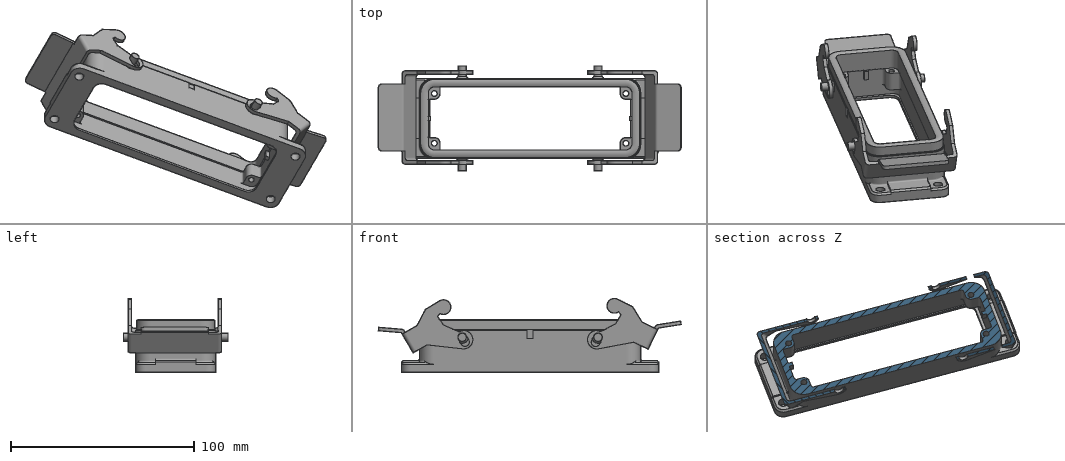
import cadquery as cq
import math

base_length = 140.3
housing_width = 43.6
base_corner_radius = 5.1
base_height = 5.5
pad_height = 6.6
pad_width = 22.1
base_chamfer = 1.0

wall_length = 120.6
wall_corner_radius = 7.6
wall_top = 23.3
wall_top_chamfer = 0.41
root_fillet = 0.8

lip_inset = 0.5
lip_length = 119.3
lip_width = housing_width - 2 * lip_inset
lip_thickness = 4.1
lip_corner_radius = 7.6
lip_top = 29.0
lip_dome_rise = 0.5

mouth_length = lip_length - 2 * lip_thickness
mouth_width = lip_width - 2 * lip_thickness
mouth_corner_radius = lip_corner_radius - lip_thickness
ledge_height = 17.5
ledge_depth = 0.8
chamber_length = mouth_length + 2 * ledge_depth
chamber_width = mouth_width + 2 * ledge_depth
floor_thickness = 1.5
floor_opening_length = 109.4
floor_opening_width = mouth_width
floor_corner_radius = 5.0

boss_bottom = 7.5
boss_hole_diameter = 3.0
boss_hole_x = 52.2
boss_hole_y = 13.5
boss_radius = 3.1
boss_root_fillet = 1.2

nub_width = 2.3
nub_bottom = 12.4
nub_inner_x = 54.2

mount_hole_diameter = 4.8
mount_hole_x = 65.0
mount_hole_y = 16.0

notch_width = 3.3
notch_bottom = 18.5
notch_depth = 1.0

pin_x = 37.0
pin_z = 19.2
pin_diameter = 4.5
pin_span = 57.2
collar_root_diameter = 6.6
collar_height = 1.2

sheet = 2.0
latch_width = 51.0
latch_y_offset = 0.5
slot_width = 4.8
slot_travel = 3.0
lobe_center = (0, -slot_travel / 2)
lobe_radius = 5.04
hook_center = (0.5, 19.3)
hook_radius = 4.05
hook_end_angle = -30.0
hook_shoulder = (9.6, 23.3)
throat = (5.8, 16.5)
throat_fillet = 0.5
arm_upper_corner = (5.5, 10.9)
plate_outer_u = 27.5
plate_bottom_w = 6.1
plate_top_w = 18.0
tail_start_upper_u = 18.0
tail_start_lower_u = 18.7
plate_outer_radius = 2.0
plate_inner_radius = 1.7

flap_width = 36.7
flap_angle = 35.0
flap_tip = (37.2, 27.0)
flap_corner = 2.1
flap_bend_radius = 2.0
left_tilt = 30.3
right_tilt = 26.0

pick_margin = 0.2


def rounded_block(length, width, radius, bottom, top):
    """Block centred on the Z axis with rounded vertical edges."""
    block = cq.Workplane("XY").workplane(offset=bottom).rect(length, width).extrude(top - bottom)
    return block.edges("|Z").fillet(radius)


def box_between(x_range, y_range, z_range):
    """Box given by its two limits along each axis."""
    size = [high - low for low, high in (x_range, y_range, z_range)]
    corner = (x_range[0], y_range[0], z_range[0])
    return cq.Workplane("XY").box(*size, centered=False).translate(corner)


def mirrored_points(x, y):
    """The four points (+-x, +-y)."""
    return [(sx * x, sy * y) for sx in (-1, 1) for sy in (-1, 1)]


def tangent_point(center, radius, point, side):
    """Where a line from point touches a circle; side +1 or -1 picks one of the two touches."""
    du = point[0] - center[0]
    dw = point[1] - center[1]
    angle = math.atan2(dw, du) + side * math.acos(radius / math.hypot(du, dw))
    return (center[0] + radius * math.cos(angle), center[1] + radius * math.sin(angle))


def housing_shell():
    """Flanged base with a raised pad at each end and the upright wall, root edges filleted."""
    base = rounded_block(base_length, housing_width, base_corner_radius, 0, base_height)
    base = base.faces(">Z").edges().chamfer(base_chamfer)
    pad = box_between(
        (-base_length / 2, base_length / 2), (-pad_width / 2, pad_width / 2), (0, pad_height)
    )
    pad = pad.edges(">Z and |Y").chamfer(base_chamfer)
    wall = rounded_block(wall_length, housing_width, wall_corner_radius, 0, wall_top)
    wall = wall.faces(">Z").edges().chamfer(wall_top_chamfer)
    shell = base.union(pad).union(wall)
    root_x = wall_length / 2 + pick_margin
    root_y = housing_width / 2 - 2 * pick_margin
    root_zone = cq.selectors.BoxSelector(
        (-root_x, -root_y, base_height - pick_margin),
        (root_x, root_y, pad_height + pick_margin),
    )
    return shell.edges(root_zone).edges("not |Z").fillet(root_fillet)


def lip_profile(middle_radius):
    """Cross-section of the rim in the XZ plane, its middle line at the given X."""
    half = lip_thickness / 2
    shoulder = lip_top - lip_dome_rise
    return (
        cq.Workplane("XZ").center(middle_radius, 0)
        .moveTo(-half, wall_top)
        .lineTo(half, wall_top)
        .lineTo(half, shoulder)
        .threePointArc((0, lip_top), (-half, shoulder))
        .close()
    )


def domed_lip():
    """Rim with an arched top: four straight bars joined by four quarter-turn corners."""
    middle_radius = lip_corner_radius - lip_thickness / 2
    corner_x = lip_length / 2 - lip_corner_radius
    corner_y = lip_width / 2 - lip_corner_radius
    corners = ((corner_x, corner_y), (-corner_x, corner_y), (-corner_x, -corner_y), (corner_x, -corner_y))
    bar_lengths = (2 * corner_x, 2 * corner_y, 2 * corner_x, 2 * corner_y)
    lip = cq.Workplane("XY")
    for turn, (corner, bar_length) in enumerate(zip(corners, bar_lengths)):
        bend = lip_profile(middle_radius).revolve(90, (-middle_radius, 0), (-middle_radius, 1))
        bar = lip_profile(middle_radius).extrude(-bar_length)
        bar = bar.rotate((0, 0, 0), (0, 0, 1), 90)
        section = bend.union(bar).rotate((0, 0, 0), (0, 0, 1), 90 * turn)
        section = section.translate((*corner, 0))
        lip = lip.union(section) if turn else section
    return lip


def space_between_bosses():
    """Chamber layer at the height of the bosses, with its four corners left solid."""
    edge_x = boss_hole_x - boss_radius
    edge_y = boss_hole_y - boss_radius
    height = ledge_height - boss_bottom
    lengthwise = cq.Workplane("XY").rect(chamber_length, 2 * edge_y).extrude(height)
    crosswise = cq.Workplane("XY").rect(2 * edge_x, chamber_width).extrude(height)
    boss_corner_zone = cq.selectors.BoxSelector(
        (-edge_x - pick_margin, -edge_y - pick_margin, 0),
        (edge_x + pick_margin, edge_y + pick_margin, height),
    )
    space = lengthwise.union(crosswise)
    space = space.edges("|Z").edges(boss_corner_zone).fillet(boss_radius)
    space = space.edges("|Z").edges("<X or >X or <Y or >Y").fillet(boss_root_fillet)
    return space.translate((0, 0, boss_bottom))


def inner_space():
    """The opening below the lip: mouth, chamber and floor opening."""
    mouth = rounded_block(mouth_length, mouth_width, mouth_corner_radius, ledge_height, wall_top)
    under_bosses = rounded_block(
        chamber_length, chamber_width, mouth_corner_radius, floor_thickness, boss_bottom
    )
    floor_opening = rounded_block(
        floor_opening_length, floor_opening_width, floor_corner_radius, 0, floor_thickness
    )
    return mouth.union(under_bosses).union(space_between_bosses()).union(floor_opening)


def end_nub(end):
    """Nub on one inner end wall; end is -1 or +1 along X."""
    outer_x = chamber_length / 2 + ledge_depth
    x_range = sorted((end * nub_inner_x, end * outer_x))
    return box_between(x_range, (-nub_width / 2, nub_width / 2), (nub_bottom, ledge_height))


def side_notch(side):
    """Shallow notch in one long side; side is -1 or +1 along Y."""
    outer_y = housing_width / 2
    y_range = sorted((side * (outer_y - notch_depth), side * outer_y))
    return box_between((-notch_width / 2, notch_width / 2), y_range, (notch_bottom, wall_top))


def pivot(x, side):
    """Collar and pin standing out of one long side; side is -1 or +1 along Y."""
    wall_y = housing_width / 2
    outward = cq.Vector(0, side, 0)
    root = cq.Vector(x, side * wall_y, pin_z)
    collar = cq.Solid.makeCone(
        collar_root_diameter / 2, pin_diameter / 2, collar_height, root, outward
    )
    pin = cq.Solid.makeCylinder(pin_diameter / 2, pin_span / 2 - wall_y, root, outward)
    return cq.Workplane(collar).union(cq.Workplane(pin))


def vertical_holes(x, y, diameter, height):
    """Four upright holes placed symmetrically about both middle planes."""
    return cq.Workplane("XY").pushPoints(mirrored_points(x, y)).circle(diameter / 2).extrude(height)


def make_housing():
    body = housing_shell().cut(inner_space()).union(domed_lip())
    for sign in (-1, 1):
        body = body.union(end_nub(sign))
        body = body.cut(side_notch(sign))
    body = body.cut(vertical_holes(boss_hole_x, boss_hole_y, boss_hole_diameter, ledge_height))
    body = body.cut(vertical_holes(mount_hole_x, mount_hole_y, mount_hole_diameter, pad_height))
    for x, side in mirrored_points(pin_x, 1):
        body = body.union(pivot(x, side))
    return body


def latch_outline():
    """Side outline of the latch, from the hook down to the pivot lobe and the end plate."""
    hook_top = tangent_point(hook_center, hook_radius, hook_shoulder, 1)
    hook_end = (
        hook_center[0] + hook_radius * math.cos(math.radians(hook_end_angle)),
        hook_center[1] + hook_radius * math.sin(math.radians(hook_end_angle)),
    )
    hook_nose = (hook_center[0] - hook_radius, hook_center[1])
    lobe_top = (lobe_center[0], lobe_center[1] + lobe_radius)
    lobe_bottom = tangent_point(lobe_center, lobe_radius, (tail_start_lower_u, plate_bottom_w), -1)
    lobe_tip = (lobe_center[0] - lobe_radius, lobe_center[1])
    return (
        cq.Workplane("XZ")
        .moveTo(*hook_shoulder)
        .lineTo(tail_start_upper_u, plate_top_w)
        .lineTo(plate_outer_u, plate_top_w)
        .lineTo(plate_outer_u, plate_bottom_w)
        .lineTo(tail_start_lower_u, plate_bottom_w)
        .lineTo(*lobe_bottom)
        .threePointArc(lobe_tip, lobe_top)
        .lineTo(*arm_upper_corner)
        .lineTo(*throat)
        .lineTo(*hook_end)
        .threePointArc(hook_nose, hook_top)
        .close()
    )


def latch_channel():
    """Two arms joined by the end plate, bent from one sheet."""
    block = latch_outline().extrude(latch_width / 2, both=True)
    throat_zone = cq.selectors.BoxSelector(
        (throat[0] - pick_margin, -latch_width, throat[1] - pick_margin),
        (throat[0] + pick_margin, latch_width, throat[1] + pick_margin),
    )
    block = block.edges(throat_zone).fillet(throat_fillet)
    block = block.edges("|Z and >X").fillet(plate_outer_radius)
    inner_half = latch_width / 2 - sheet
    hollow = box_between(
        (-plate_outer_u, plate_outer_u - sheet),
        (-inner_half, inner_half),
        (-plate_outer_u, 2 * plate_outer_u),
    )
    return block.cut(hollow.edges("|Z and >X").fillet(plate_inner_radius))


def latch_flap():
    """Thumb flap bent outward from the top of the end plate."""
    angle = math.radians(flap_angle)
    slope = math.tan(angle)
    rise = sheet / 2 / math.cos(angle)
    across_u = sheet / 2 * math.sin(angle)
    across_w = sheet / 2 * math.cos(angle)
    plate_inner_u = plate_outer_u - sheet
    upper_bend_w = flap_tip[1] + (plate_inner_u - flap_tip[0]) * slope + rise
    lower_bend_w = flap_tip[1] + (plate_outer_u - flap_tip[0]) * slope - rise
    root_w = plate_top_w - sheet
    strip = (
        cq.Workplane("XZ")
        .moveTo(plate_inner_u, root_w)
        .lineTo(plate_inner_u, upper_bend_w)
        .lineTo(flap_tip[0] - across_u, flap_tip[1] + across_w)
        .lineTo(flap_tip[0] + across_u, flap_tip[1] - across_w)
        .lineTo(plate_outer_u, lower_bend_w)
        .lineTo(plate_outer_u, root_w)
        .close()
        .extrude(flap_width / 2, both=True)
    )
    strip = strip.faces(">X").edges("not |Y").fillet(flap_corner)
    bend_zone = cq.selectors.BoxSelector(
        (plate_inner_u - pick_margin, -flap_width, upper_bend_w - pick_margin),
        (plate_inner_u + pick_margin, flap_width, upper_bend_w + pick_margin),
    )
    return strip.edges(bend_zone).fillet(flap_bend_radius)


def pivot_slots():
    """Slot through both arms, its upper end resting on the pin."""
    slot = cq.Workplane("XZ").center(*lobe_center).slot2D(slot_travel + slot_width, slot_width, 90)
    return slot.extrude(latch_width, both=True)


def make_latch(end, tilt):
    """Latch on the pins at one end; end is -1 or +1 along X, tilt leans the plate outward."""
    body = latch_channel().union(latch_flap()).cut(pivot_slots())
    body = body.rotate((0, 0, 0), (0, 1, 0), tilt)
    if end < 0:
        body = body.mirror("YZ")
    return body.translate((end * pin_x, latch_y_offset, pin_z))


housing = make_housing()
latches = [make_latch(end, tilt) for end, tilt in ((-1, left_tilt), (1, right_tilt))]
result = cq.Compound.makeCompound([body.solids().val() for body in (housing, *latches)])